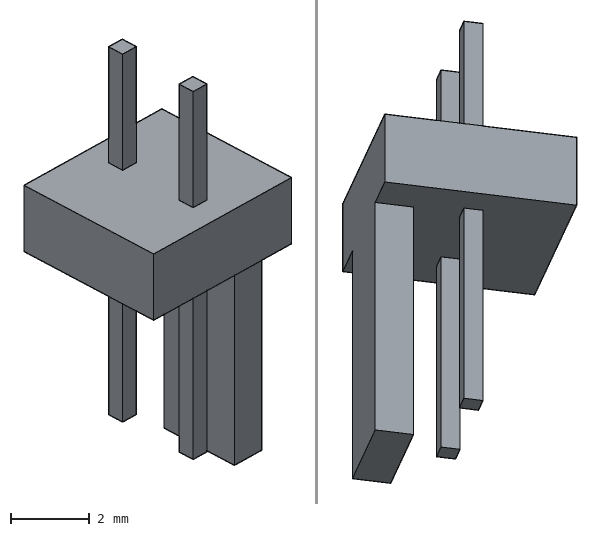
import cadquery as cq

total_height = 12.2
body_width = 4.6
body_depth = 5.0
body_height = 2.0
pin_side = 0.5
pin_pitch = 2.5
pin_rise = 3.5
pin_tip_gap = 1.1
tongue_width = 2.5
tongue_thickness = 1.0

body_top = total_height - pin_rise
body_bottom = body_top - body_height


def upright_block(width, depth, bottom, top, x=0, y=0):
    """Rectangular block centred on (x, y), spanning two Z levels."""
    block = cq.Workplane("XY").box(width, depth, top - bottom, centered=(True, True, False))
    return block.translate((x, y, bottom))


result = upright_block(body_width, body_depth, body_bottom, body_top)

tongue_y = (body_depth - tongue_thickness) / 2
result = result.union(upright_block(tongue_width, tongue_thickness, 0, body_bottom, y=tongue_y))

for side in (-1, 1):
    pin_x = side * pin_pitch / 2
    result = result.union(upright_block(pin_side, pin_side, pin_tip_gap, total_height, x=pin_x))